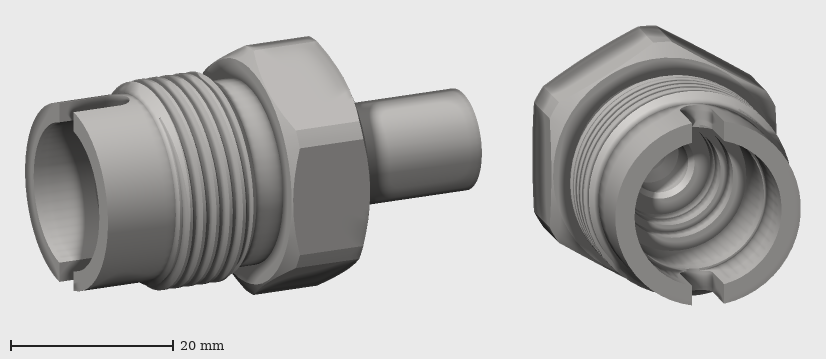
import math

import cadquery as cq


barrel_length = 9.3
thread_length = 11.0
neck_length = 3.75
hex_length = 10.75
tube_length = 19.05

thread_start = barrel_length
thread_end = thread_start + thread_length
hex_start = thread_end + neck_length
hex_end = hex_start + hex_length
tube_end = hex_end + tube_length

barrel_radius = 11.75
neck_radius = 11.65
tube_radius = 12.7 / 2

hex_across_flats = 28.575
hex_corner_radius = 31.75 / 2
hex_face_radius = 14.1
hex_chamfer_angle = 30.0

thread_pitch = 25.4 / 14
thread_radius = 13.1
thread_root_radius = 12.15
thread_root_width = 0.4
thread_flank_angle = 27.5
thread_front_radius = barrel_radius
thread_rear_radius = 11.9
groove_clearance = 0.3
groove_start_offset = 0.29
groove_start_y = thread_start + groove_start_offset
groove_start_angle = 60.0
groove_turns = 5.75

slot_width = 4.06
slot_depth = 8.43
slot_half_height = barrel_radius + 1

bore_steps = [
    (9.31, 8.25),
    (8.98, 18.0),
    (7.32, 21.0),
    (6.42, 24.0),
    (6.25, 26.0),
]
pilot_mouth_radius = 4.25
pilot_radius = 3.6
pilot_depth = 32.0
drill_tip_half_angle = 59.0
through_radius = 2.23


def revolve_profile(points):
    """Revolve a closed outline of (radius, y) points about the Y axis."""
    return cq.Workplane("ZY").polyline(points).close().revolve(360, (0, 0, 0), (0, 1, 0))


def cylinder(radius, y_start, y_end):
    return revolve_profile([(0, y_start), (radius, y_start), (radius, y_end), (0, y_end)])


def make_hexagon():
    """Hexagonal prism trimmed by a cylinder with a conical chamfer at each end."""
    half_side_angle = 180 / 6
    across_corners = hex_across_flats / math.cos(math.radians(half_side_angle))
    prism = (
        cq.Workplane("XZ", origin=(0, hex_end, 0))
        .transformed(rotate=(0, 0, half_side_angle))
        .polygon(6, across_corners)
        .extrude(hex_length)
    )
    chamfer_length = (hex_corner_radius - hex_face_radius) * math.tan(math.radians(hex_chamfer_angle))
    envelope = revolve_profile([
        (0, hex_start),
        (hex_face_radius, hex_start),
        (hex_corner_radius, hex_start + chamfer_length),
        (hex_corner_radius, hex_end - chamfer_length),
        (hex_face_radius, hex_end),
        (0, hex_end),
    ])
    return prism.intersect(envelope)


def make_thread():
    """Collar with 45 degree lead-ins and a helical groove that ends within them."""
    front_lead_in = thread_radius - thread_front_radius
    rear_lead_in = thread_radius - thread_rear_radius
    collar = revolve_profile([
        (0, thread_start),
        (thread_front_radius, thread_start),
        (thread_radius, thread_start + front_lead_in),
        (thread_radius, thread_end - rear_lead_in),
        (thread_rear_radius, thread_end),
        (0, thread_end),
    ])

    groove_outer_radius = thread_radius + groove_clearance
    flank_spread = (groove_outer_radius - thread_root_radius) * math.tan(math.radians(thread_flank_angle))
    half_root = thread_root_width / 2
    half_mouth = half_root + flank_spread
    groove_length = groove_turns * thread_pitch

    helix = cq.Wire.makeHelix(thread_pitch, groove_length, thread_root_radius)
    groove = (
        cq.Workplane("XZ")
        .polyline([
            (thread_root_radius, -half_root),
            (groove_outer_radius, -half_mouth),
            (groove_outer_radius, half_mouth),
            (thread_root_radius, half_root),
        ])
        .close()
        .sweep(cq.Workplane(obj=helix), isFrenet=True)
        .rotate((0, 0, 0), (1, 0, 0), -90)
        .rotate((0, 0, 0), (0, 1, 0), -groove_start_angle)
        .translate((0, groove_start_y, 0))
    )

    bar = cylinder(
        thread_radius,
        groove_start_y - thread_pitch,
        groove_start_y + groove_length + thread_pitch,
    )
    return bar.cut(groove).intersect(collar)


def make_bore():
    """Stepped bore, countersunk pilot hole with a drill-point floor, and through hole."""
    points = [(0, 0)]
    depth = 0
    for radius, floor in bore_steps:
        points += [(radius, depth), (radius, floor)]
        depth = floor
    countersink_depth = pilot_mouth_radius - pilot_radius
    tip_length = (pilot_radius - through_radius) / math.tan(math.radians(drill_tip_half_angle))
    points += [
        (pilot_mouth_radius, depth),
        (pilot_radius, depth + countersink_depth),
        (pilot_radius, pilot_depth),
        (through_radius, pilot_depth + tip_length),
        (through_radius, tube_end),
        (0, tube_end),
    ]
    return revolve_profile(points)


def make_slot():
    """Round-ended slot passing through both walls of the barrel along Z."""
    half_width = slot_width / 2
    straight_depth = slot_depth - half_width
    return (
        cq.Workplane("XY")
        .moveTo(-half_width, 0)
        .lineTo(-half_width, straight_depth)
        .threePointArc((0, slot_depth), (half_width, straight_depth))
        .lineTo(half_width, 0)
        .close()
        .extrude(slot_half_height, both=True)
    )


outside = (
    make_thread()
    .union(cylinder(barrel_radius, 0, thread_start))
    .union(cylinder(neck_radius, thread_end, hex_start))
    .union(make_hexagon())
    .union(cylinder(tube_radius, hex_end, tube_end))
)
result = outside.cut(make_bore()).cut(make_slot())